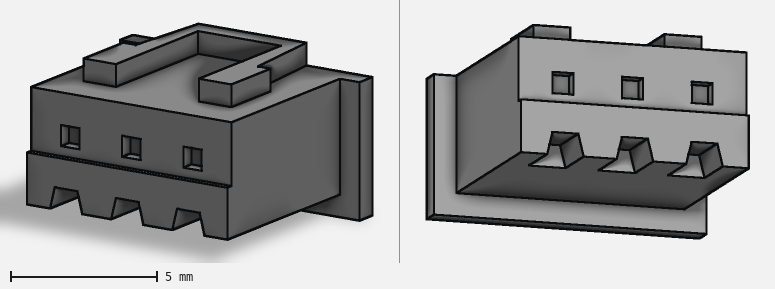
import cadquery as cq

flange_width = 9.8
body_width = 8.19
depth = 7.75
housing_height = 4.9
flange_thickness = 0.8
body_bottom = 0.8

step_depth = 0.25
step_z = 2.65

pitch = 2.5
contact_positions = [-pitch, 0, pitch]
window_size = 0.74
window_z = 3.37
window_depth = 0.5
groove_top_width = 0.92
groove_bottom_width = 1.31
groove_height = 0.78
groove_length = 1.96

latch_height = 0.8
latch_root_half_width = 2.205
latch_neck_half_width = 2.5
latch_head_half_width = 3.02
latch_opening_width = 3.39
latch_neck_y = depth - 3.45
latch_tip_y = depth - 5.88
latch_bridge = 0.8


def box(width, y_start, y_end, z_start, z_end, x_center=0):
    """Box centred on x_center between the given Y and Z limits."""
    return (
        cq.Workplane("XY")
        .box(width, y_end - y_start, z_end - z_start, centered=(True, False, False))
        .translate((x_center, y_start, z_start))
    )


def make_housing():
    body = box(body_width, 0, depth, body_bottom, housing_height)
    flange = box(flange_width, depth - flange_thickness, depth, 0, housing_height)
    step = box(body_width, 0, step_depth, step_z, housing_height)
    return body.union(flange).cut(step)


def make_latch():
    right_side = [
        (latch_root_half_width, depth),
        (latch_neck_half_width, latch_neck_y),
        (latch_head_half_width, latch_neck_y),
        (latch_head_half_width, latch_tip_y),
    ]
    left_side = [(-x, y) for x, y in reversed(right_side)]
    latch_top = housing_height + latch_height
    outer = (
        cq.Workplane("XY", origin=(0, 0, housing_height))
        .polyline(right_side + left_side)
        .close()
        .extrude(latch_height)
    )
    opening = box(latch_opening_width, latch_tip_y, depth - latch_bridge, housing_height, latch_top)
    return outer.cut(opening)


def make_window(x):
    """Square contact window opening in the stepped front face."""
    bottom = window_z - window_size / 2
    return box(window_size, 0, step_depth + window_depth, bottom, bottom + window_size, x)


def make_groove(x):
    """Tapered groove in the underside, open at the front."""
    groove_top = body_bottom + groove_height
    return (
        cq.Workplane("XZ")
        .polyline([
            (x - groove_bottom_width / 2, body_bottom),
            (x + groove_bottom_width / 2, body_bottom),
            (x + groove_top_width / 2, groove_top),
            (x - groove_top_width / 2, groove_top),
        ])
        .close()
        .extrude(-groove_length)
    )


result = make_housing().union(make_latch())
for contact_x in contact_positions:
    result = result.cut(make_window(contact_x)).cut(make_groove(contact_x))